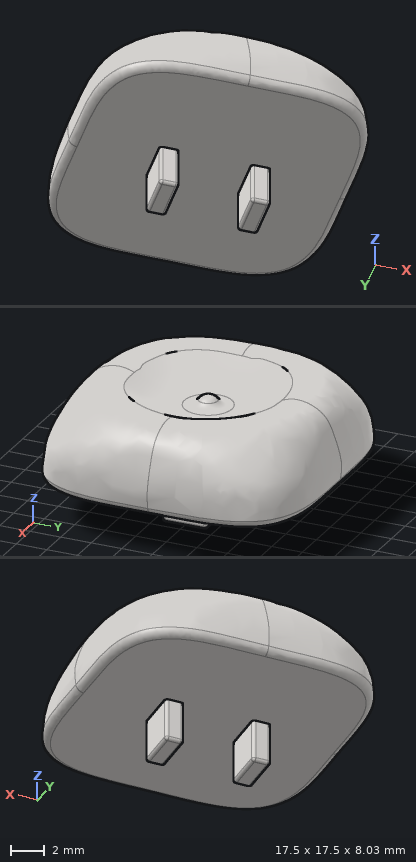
import cadquery as cq
import math

SKIRT_WIDTH = 17.42
BELLY_HEIGHT = 0.8
BOTTOM_FILLET = 0.5
SKIRT_SQUARENESS = 3.9

RIM_RADIUS = 7.0
CREST_RADIUS = 5.9
CREST_HEIGHT = 5.21
ROUND = 2.0

DISH_RADIUS = 9.5
DISH_BOTTOM = 3.58
BUMP_RADIUS = 0.8
BUMP_TOP = 4.35
BUMP_FILLET = 1.0
DISH_CUT_RADIUS = 5.3

STEM_SPACING = 5.7
STEM_THICKNESS = 1.2
STEM_WIDTH = 2.92
STEM_LENGTH = 2.8
STEM_FILLET = 0.2

QUARTERS = 4
QUARTER_TURN = 2 * math.pi / QUARTERS
POINTS_PER_QUARTER = 8

BASE_RING = (SKIRT_WIDTH / 2, SKIRT_SQUARENESS, 0.0, 0.0)
BELLY_RING = (SKIRT_WIDTH / 2, SKIRT_SQUARENESS, BELLY_HEIGHT, BELLY_HEIGHT)
WALL_RING = (8.57, 3.5, 2.33, 2.33)
SHOULDER_RING = (8.02, 2.75, 3.82, 3.82)
RIM_RING = (RIM_RADIUS, ROUND, 4.85, 5.12)
CREST_RING = (CREST_RADIUS, ROUND, 5.13, CREST_HEIGHT)
DISH_EDGE_RING = (4.9, ROUND, 4.93, 5.01)
INNER_RING = (4.4, ROUND, 4.79, 4.79)
RINGS = [
    BASE_RING,
    BELLY_RING,
    WALL_RING,
    SHOULDER_RING,
    RIM_RING,
    CREST_RING,
    DISH_EDGE_RING,
    INNER_RING,
]


def ring_point(ring, angle):
    """Point of a ring at a polar angle; the height swings between its axis and diagonal values."""
    half_width, exponent, axis_height, diagonal_height = ring
    across = abs(math.cos(angle)) ** exponent + abs(math.sin(angle)) ** exponent
    radius = half_width / across ** (1 / exponent)
    diagonal_share = (1 - math.cos(QUARTERS * angle)) / 2
    height = axis_height + (diagonal_height - axis_height) * diagonal_share
    return cq.Vector(radius * math.cos(angle), radius * math.sin(angle), height)


def ring_wire(ring):
    """Closed ring of four quarter splines that meet squarely on the X and Y axes."""
    edges = []
    for quarter in range(QUARTERS):
        start = quarter * QUARTER_TURN
        end = start + QUARTER_TURN
        points = [
            ring_point(ring, start + QUARTER_TURN * step / POINTS_PER_QUARTER)
            for step in range(POINTS_PER_QUARTER + 1)
        ]
        start_tangent = cq.Vector(-math.sin(start), math.cos(start), 0)
        end_tangent = cq.Vector(-math.sin(end), math.cos(end), 0)
        edges.append(cq.Edge.makeSpline(points, tangents=[start_tangent, end_tangent]))
    return cq.Wire.assembleEdges(edges)


def make_cap():
    """Pillow-shaped cap lofted through its rings, with a rounded bottom edge."""
    cap = cq.Workplane(cq.Solid.makeLoft([ring_wire(ring) for ring in RINGS]))
    return cap.faces("<Z").edges().fillet(BOTTOM_FILLET)


def on_circle(center_x, center_z, radius, angle):
    """Point of a circle in the XZ plane at an angle from the X axis."""
    return (center_x + radius * math.cos(angle), center_z + radius * math.sin(angle))


def make_dish_cutter():
    """Turned cutter: a spherical dish around a domed bump, blended by a concave fillet."""
    dish_center = DISH_BOTTOM + DISH_RADIUS
    bump_center = BUMP_TOP - BUMP_RADIUS
    to_bump = BUMP_RADIUS + BUMP_FILLET
    to_dish = DISH_RADIUS - BUMP_FILLET
    center_gap = dish_center - bump_center
    fillet_rise = (center_gap**2 + to_bump**2 - to_dish**2) / (2 * center_gap)
    fillet_x = math.sqrt(to_bump**2 - fillet_rise**2)
    fillet_z = bump_center + fillet_rise

    bump_angle = math.atan2(fillet_rise, fillet_x)
    dish_angle = math.atan2(fillet_z - dish_center, fillet_x)
    rim_angle = -math.acos(DISH_CUT_RADIUS / DISH_RADIUS)

    bump_middle = on_circle(0, bump_center, BUMP_RADIUS, (bump_angle + math.pi / 2) / 2)
    bump_end = on_circle(0, bump_center, BUMP_RADIUS, bump_angle)
    fillet_middle_angle = (bump_angle - math.pi + dish_angle) / 2
    fillet_middle = on_circle(fillet_x, fillet_z, BUMP_FILLET, fillet_middle_angle)
    fillet_end = on_circle(fillet_x, fillet_z, BUMP_FILLET, dish_angle)
    dish_middle = on_circle(0, dish_center, DISH_RADIUS, (dish_angle + rim_angle) / 2)
    dish_end = on_circle(0, dish_center, DISH_RADIUS, rim_angle)

    return (
        cq.Workplane("XZ")
        .moveTo(0, BUMP_TOP)
        .threePointArc(bump_middle, bump_end)
        .threePointArc(fillet_middle, fillet_end)
        .threePointArc(dish_middle, dish_end)
        .lineTo(0, dish_end[1])
        .close()
        .revolve(360, (0, 0, 0), (0, 1, 0))
    )


def make_stem(center_x):
    """Upright blade under the cap, rounded on every edge except at its root."""
    return (
        cq.Workplane("XY")
        .center(center_x, 0)
        .rect(STEM_THICKNESS, STEM_WIDTH)
        .extrude(-STEM_LENGTH)
        .edges("|Z or <Z")
        .fillet(STEM_FILLET)
    )


result = make_cap().cut(make_dish_cutter())
for side in (-1, 1):
    result = result.union(make_stem(side * STEM_SPACING / 2))